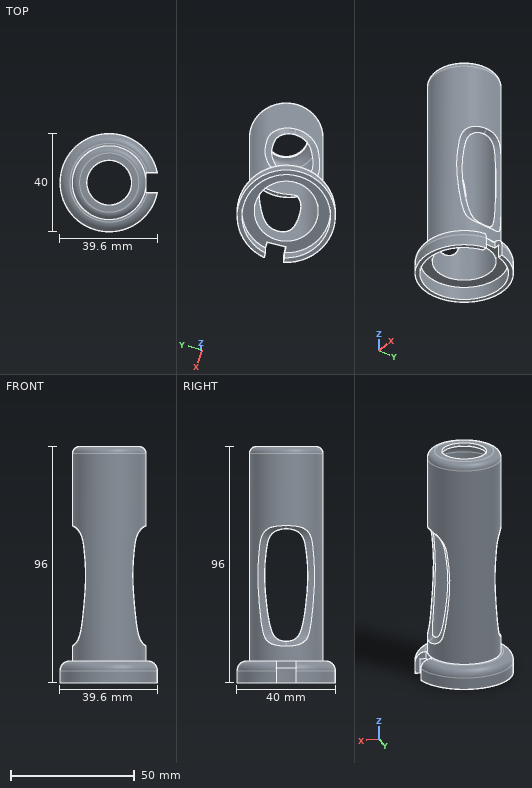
import cadquery as cq
import math

total_height = 96.0
tube_radius = 15.0
tube_wall = 2.0
tube_fillet = 3.0
bore_radius = tube_radius - tube_wall
mouth_radius = 9.0
lip_thickness = 1.4
bore_fillet = bore_radius - mouth_radius
flange_radius = 20.0
flange_height = 9.0
flange_fillet = 4.0
recess_radius = 18.0
recess_depth = 6.0
slot_width = 8.0

window_top_z = 63.8
window_bottom_z = 15.0
waist_curve = [
    (tube_radius, window_top_z),
    (13.3, 62.9),
    (11.8, 60.9),
    (10.3, 54.5),
    (9.6, 44.2),
    (10.3, 31.7),
    (11.5, 21.4),
    (12.7, 17.5),
    (tube_radius, window_bottom_z),
]


def make_body():
    """Revolve the flanged tube, including its stepped bore."""
    bore_arc_z = total_height - lip_thickness - bore_fillet
    tube_arc_radius = tube_radius - tube_fillet
    tube_arc_z = total_height - tube_fillet
    arc_mid = math.sqrt(0.5)
    flange_arc_radius = flange_radius - flange_fillet
    flange_arc_z = flange_height - flange_fillet
    return (
        cq.Workplane("XZ")
        .moveTo(recess_radius, 0)
        .lineTo(flange_radius, 0)
        .lineTo(flange_radius, flange_arc_z)
        .threePointArc(
            (flange_arc_radius + flange_fillet * arc_mid, flange_arc_z + flange_fillet * arc_mid),
            (flange_arc_radius, flange_height),
        )
        .lineTo(tube_radius, flange_height)
        .lineTo(tube_radius, tube_arc_z)
        .threePointArc(
            (tube_arc_radius + tube_fillet * arc_mid, tube_arc_z + tube_fillet * arc_mid),
            (tube_arc_radius, total_height),
        )
        .lineTo(mouth_radius, total_height)
        .lineTo(mouth_radius, total_height - lip_thickness)
        .threePointArc(
            (mouth_radius + bore_fillet * arc_mid, bore_arc_z + bore_fillet * arc_mid),
            (bore_radius, bore_arc_z),
        )
        .lineTo(bore_radius, recess_depth)
        .lineTo(recess_radius, recess_depth)
        .close()
        .revolve(360, (0, 0, 0), (0, 1, 0))
    )


def make_window_cutter():
    """Everything outside the waist curve on the +X side."""
    outside_x = flange_radius
    return (
        cq.Workplane("XZ")
        .moveTo(*waist_curve[0])
        .spline(waist_curve[1:], includeCurrent=True)
        .lineTo(outside_x, window_bottom_z)
        .lineTo(outside_x, window_top_z)
        .close()
        .extrude(tube_radius, both=True)
    )


def make_slot_cutter():
    """Notch through the flange rim on the +X side, down to the tube surface."""
    slot_length = flange_radius
    return (
        cq.Workplane("XY")
        .box(slot_length, slot_width, flange_height, centered=(False, True, False))
        .translate((tube_radius, 0, 0))
    )


window = make_window_cutter()
result = make_body().cut(window).cut(window.mirror("YZ")).cut(make_slot_cutter())